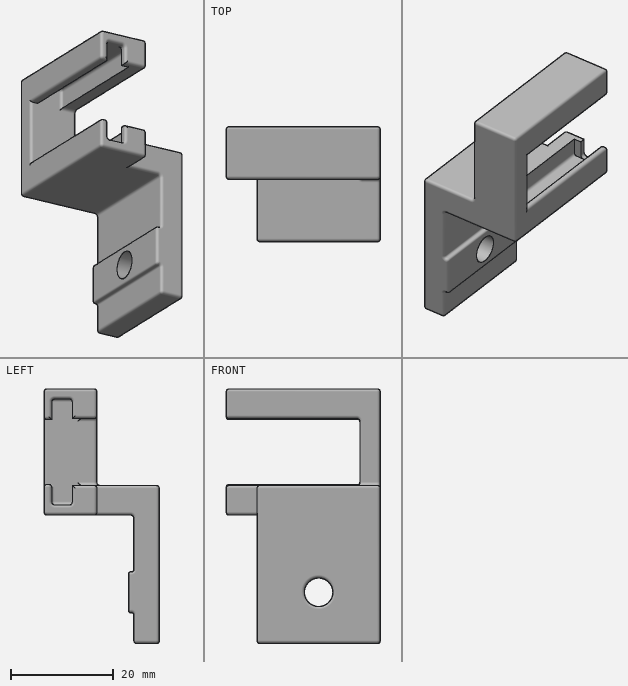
import cadquery as cq
length = 30.0
depth = 22.45
height = 49.6

edge_radius = 0.6

clamp_depth = 10.3
clamp_bottom = 25.0
wall_thickness = 4.0
arm_height = 6.0
front_lip_setback = 0.2

floor_thickness = 2.0
rear_lip_thickness = 1.5
groove_width = 5.6
entry_width = 4.0
end_stop_thickness = 1.5

leg_left = 6.0
leg_thickness = 5.0

rib_height = 8.0
rib_depth = 1.0
rib_radius = 0.4
hole_diameter = 5.5
hole_x = 18.0
hole_z = 10.0

wall_x = length - wall_thickness
clamp_front = depth - clamp_depth
groove_rear = depth - rear_lip_thickness
groove_front = groove_rear - groove_width
entry_front = groove_rear - entry_width
rear_lip_top = clamp_bottom + arm_height
shelf_top = rear_lip_top - front_lip_setback
rear_lip_bottom = height - arm_height
front_lip_bottom = rear_lip_bottom + front_lip_setback
rib_back = leg_thickness + rib_depth
rib_bottom = hole_z - rib_height / 2
rib_top = hole_z + rib_height / 2

margin = 0.01


def box(x_range, y_range, z_range):
    """Box spanning the given (low, high) ranges."""
    return (
        cq.Workplane("XY")
        .box(x_range[1] - x_range[0], y_range[1] - y_range[0], z_range[1] - z_range[0], centered=False)
        .translate((x_range[0], y_range[0], z_range[0]))
    )


def make_sharp_body():
    """Clamp, shelf, leg and rib before any rounding."""
    clamp = box((0, length), (clamp_front, depth), (clamp_bottom, height))
    front_gap = box((0, wall_x), (clamp_front, groove_rear), (shelf_top, front_lip_bottom))
    rear_gap = box((0, wall_x), (groove_rear, depth), (rear_lip_top, rear_lip_bottom))
    clamp = clamp.cut(front_gap).cut(rear_gap)
    shelf = box((leg_left, length), (0, clamp_front), (clamp_bottom, shelf_top))
    leg = box((leg_left, length), (0, leg_thickness), (0, shelf_top))
    rib = box((leg_left, length), (0, rib_back), (rib_bottom, rib_top))
    return clamp.union(shelf).union(leg).union(rib).clean()


def make_groove(floor_z, mouth_z):
    """Groove space between its floor and its mouth, narrowed at its open end by an end stop."""
    z_range = (min(floor_z, mouth_z), max(floor_z, mouth_z))
    chamber = box((end_stop_thickness, wall_x), (groove_front, groove_rear), z_range)
    entry = box((0, end_stop_thickness), (entry_front, groove_rear), z_range)
    return chamber.union(entry).clean()


def edges_in(part, x_range, y_range, z_range):
    """Edges whose centre lies inside the given (low, high) ranges."""
    low, high = zip(x_range, y_range, z_range)
    low_corner = tuple(value - margin for value in low)
    high_corner = tuple(value + margin for value in high)
    return part.edges(cq.selectors.BoxSelector(low_corner, high_corner)).vals()


def round_rib(part):
    """Round the tips and the roots of the rib."""
    rib_y = (leg_thickness, rib_back)
    middle_x = (leg_left + length) / 2
    lower = edges_in(part, (middle_x, middle_x), rib_y, (rib_bottom, rib_bottom))
    upper = edges_in(part, (middle_x, middle_x), rib_y, (rib_top, rib_top))
    return part.newObject(lower + upper).fillet(rib_radius)


def edges_kept_sharp(part):
    """Edges that the main rounding leaves alone, among them the seams of the rounded rib."""
    middle_x = (wall_x + end_stop_thickness) / 2
    full_z = (0, height)
    stop_middle = end_stop_thickness / 2
    inner_stop_x = (end_stop_thickness, end_stop_thickness)
    lip_gap_z = (shelf_top, front_lip_bottom)
    upper_lip_z = (rear_lip_bottom, height - floor_thickness - 2 * margin)
    between_rib_ends = (leg_left + edge_radius, length - edge_radius)
    rib_z = (rib_bottom - rib_radius, rib_top + rib_radius)
    rear_lip_y = (groove_rear + 2 * margin, depth - 2 * margin)

    end_stop_backs = edges_in(part, inner_stop_x, (groove_front, entry_front), full_z)
    end_stop_mouths = edges_in(part, (stop_middle, stop_middle), (entry_front, entry_front), lip_gap_z)
    front_mouths = edges_in(part, (middle_x, middle_x), (groove_front, groove_front), lip_gap_z)
    upper_rear_lip = edges_in(part, (2 * margin, wall_x), (groove_rear, groove_rear), upper_lip_z)
    lip_ends = edges_in(part, (wall_x, wall_x), rear_lip_y, (rear_lip_top, rear_lip_bottom))
    leg_to_clamp = edges_in(part, (leg_left, leg_left), (clamp_front, clamp_front), full_z)
    rib_seams = edges_in(part, between_rib_ends, (leg_thickness, rib_back), rib_z)
    return (
        end_stop_backs + end_stop_mouths + front_mouths + upper_rear_lip + lip_ends + leg_to_clamp + rib_seams
    )


def round_edges(part):
    """Round every edge except the ones kept sharp."""
    sharp = edges_kept_sharp(part)
    rounded = [edge for edge in part.edges().vals() if not any(edge.isSame(other) for other in sharp)]
    return part.newObject(rounded).fillet(edge_radius)


def cut_bolt_hole(part):
    """Through hole along Y with a widened mouth at the leg front."""
    hole_radius = hole_diameter / 2
    bore = cq.Workplane("XZ", origin=(hole_x, 0, hole_z)).circle(hole_radius).extrude(-rib_back)
    part = part.cut(bore)
    mouth = edges_in(part, (hole_x, hole_x), (0, 0), (hole_z, hole_z))
    return part.newObject(mouth).fillet(edge_radius)


result = make_sharp_body()
result = result.cut(make_groove(clamp_bottom + floor_thickness, rear_lip_top))
result = result.cut(make_groove(height - floor_thickness, rear_lip_bottom))
result = round_rib(result)
result = round_edges(result)
result = cut_bolt_hole(result)